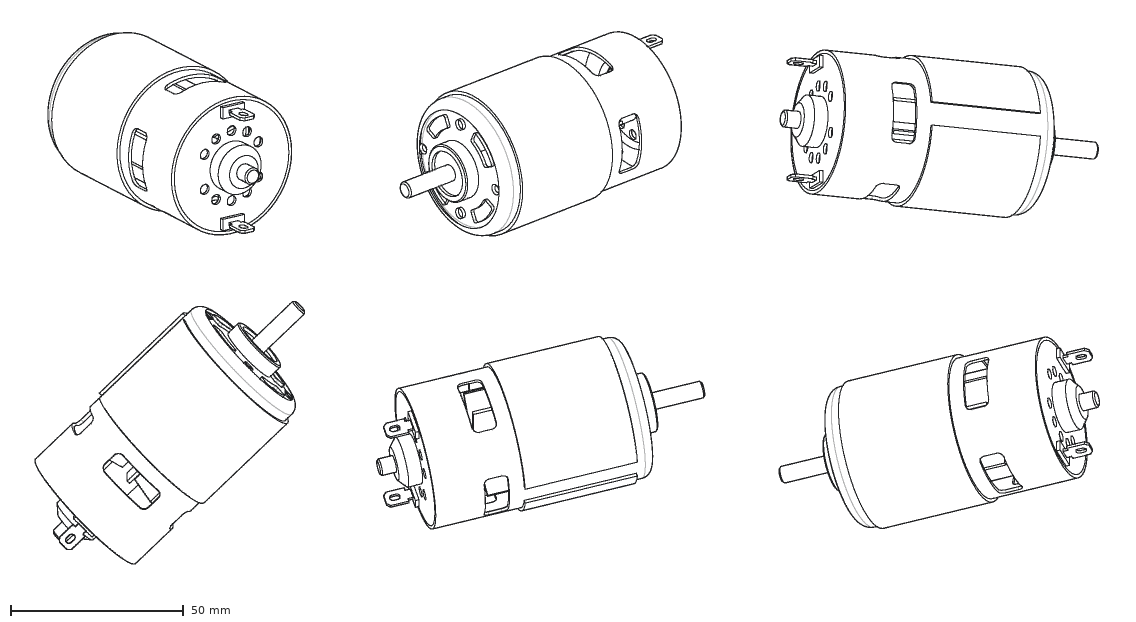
import cadquery as cq
import math


can_radius = 21.0
can_wall = 1.0
can_inner_radius = can_radius - can_wall
can_end_x = 66.3
can_fillet = 3.0
boss_length = 4.5
boss_radius = 8.8
boss_chamfer = 0.4
boss_recess_radius = 6.9
boss_recess_depth = 1.0

window_start_x = 44.0
window_length = 7.3
window_width = 18.0
window_corner = 1.7

vent_inner_radius = 12.4
vent_outer_radius = 16.4
vent_half_angle = 20.5
vent_corner = 0.8
round_hole_radius = 1.6
round_hole_reach = 14.5
dimple_radius = 1.6
dimple_floor_radius = 1.0
dimple_depth = 0.6
dimple_reach = 16.4

ring_outer_radius = 22.0
ring_start_x = 5.6
ring_end_x = 39.5
ring_gap = 7.0

shaft_radius = 2.5
shaft_start_x = -20.6
shaft_length = 98.0
shaft_chamfer = 0.5
hub_radius = 5.0
hub_end_x = 63.0
core_start_x = 22.0
core_end_x = 48.9
core_radius = 16.0
spoke_count = 10
spoke_thickness = 1.0

cap_inner_x = 63.9
dish_floor_x = 65.4
dish_rim_radius = 14.1
dish_floor_radius = 12.6
bearing_radius = 7.5
bearing_cone_x = 70.5
bearing_end_x = 72.7
bearing_tip_radius = 5.0
cap_hole_radius = 1.5
cap_hole_reach = 10.8
cap_hole_pitch = 30

pad_end_x = 67.4
pad_width = 7.6
pad_inner_z = 15.5
pad_outer_z = 19.0
blade_z = 17.4
blade_thickness = 0.9
blade_width = 5.0
blade_neck_width = 3.1
blade_shoulder_x = 68.9
blade_end_x = 75.4
blade_corner = 1.0
eyelet_start_x = 70.9
eyelet_length = 3.1
eyelet_width = 1.9


def cylinder(radius, start_x, end_x):
    """Round bar on the motor axis."""
    return cq.Workplane("YZ").workplane(offset=start_x).circle(radius).extrude(end_x - start_x)


def box(start_x, end_x, width_y, start_z, end_z):
    """Box that is centred on Y = 0."""
    size = (end_x - start_x, width_y, end_z - start_z)
    return cq.Workplane("XY").box(*size, centered=(False, True, False)).translate((start_x, 0, start_z))


def around_axis(shape, angle):
    return shape.rotate((0, 0, 0), (1, 0, 0), angle)


def round_hole(radius, reach, angle, start_x, end_x):
    """Cutter parallel to the axis, at a distance from it; angle 0 is +Y and 90 is +Z."""
    return around_axis(cylinder(radius, start_x, end_x).translate((0, reach, 0)), angle)


def vent():
    """Cutter for one annular sector centred on +Y in the front wall of the can."""
    half_angle = math.radians(vent_half_angle)
    cosine = math.cos(half_angle)
    sine = math.sin(half_angle)
    return (
        cq.Workplane("YZ")
        .moveTo(vent_inner_radius * cosine, -vent_inner_radius * sine)
        .lineTo(vent_outer_radius * cosine, -vent_outer_radius * sine)
        .threePointArc((vent_outer_radius, 0), (vent_outer_radius * cosine, vent_outer_radius * sine))
        .lineTo(vent_inner_radius * cosine, vent_inner_radius * sine)
        .threePointArc((vent_inner_radius, 0), (vent_inner_radius * cosine, -vent_inner_radius * sine))
        .close()
        .extrude(can_wall)
        .edges("|X")
        .fillet(vent_corner)
    )


def dimple():
    """Cutter for one blind conical dimple on the +Y side of the front face."""
    slope = math.degrees(math.atan2(dimple_radius - dimple_floor_radius, dimple_depth))
    cone = cq.Workplane("YZ").circle(dimple_radius).extrude(dimple_depth, taper=slope)
    return cone.translate((0, dimple_reach, 0))


def window():
    """Cutter that passes through both walls of the can along Z."""
    return (
        cq.Workplane("XY")
        .box(window_length, window_width, 2 * ring_outer_radius)
        .edges("|Z")
        .fillet(window_corner)
        .translate((window_start_x + window_length / 2, 0, 0))
    )


def make_can():
    shell = cylinder(can_radius, 0, can_end_x).faces("<X").edges().fillet(can_fillet)
    cavity = cylinder(can_inner_radius, can_wall, can_end_x)
    cavity = cavity.faces("<X").edges().fillet(can_fillet - can_wall)
    boss = cylinder(boss_radius, -boss_length, can_wall).faces("<X").edges().chamfer(boss_chamfer)
    can = shell.cut(cavity).union(boss)
    can = can.cut(cylinder(boss_recess_radius, -boss_length, -boss_length + boss_recess_depth))
    can = can.cut(cylinder(shaft_radius, -boss_length, can_wall))
    for angle in (45, 135, 225, 315):
        can = can.cut(around_axis(vent(), angle))
    for angle in (90, 270):
        can = can.cut(round_hole(round_hole_radius, round_hole_reach, angle, 0, can_wall))
    for angle in (0, 180):
        can = can.cut(around_axis(dimple(), angle))
    for angle in (0, 90):
        can = can.cut(around_axis(window(), angle))
    return can


def make_ring():
    """Rolled sleeve around the can, with its open seam at +Y."""
    ring = cylinder(ring_outer_radius, ring_start_x, ring_end_x)
    ring = ring.cut(cylinder(can_radius, ring_start_x, ring_end_x))
    seam = box(ring_start_x, ring_end_x, ring_outer_radius, -ring_gap / 2, ring_gap / 2)
    return ring.cut(seam.translate((0, ring_outer_radius, 0)))


def make_rotor():
    shaft = cylinder(shaft_radius, shaft_start_x, shaft_start_x + shaft_length)
    shaft = shaft.faces("<X or >X").edges().chamfer(shaft_chamfer)
    rotor = shaft.union(cylinder(hub_radius, core_start_x, hub_end_x))
    spoke = box(core_start_x, core_end_x, spoke_thickness, 0, core_radius)
    for index in range(spoke_count):
        rotor = rotor.union(around_axis(spoke, index * 360 / spoke_count))
    return rotor


def make_terminal():
    """Terminal on the +Z side: a pad and a necked blade with an eyelet."""
    blade_bottom = blade_z - blade_thickness / 2
    blade_top = blade_z + blade_thickness / 2
    pad = box(can_end_x, pad_end_x, pad_width, pad_inner_z, pad_outer_z)
    neck = box(can_end_x, blade_shoulder_x, blade_neck_width, blade_bottom, blade_top)
    blade = box(blade_shoulder_x, blade_end_x, blade_width, blade_bottom, blade_top)
    blade = blade.edges("|Z and >X").chamfer(blade_corner)
    eyelet = (
        cq.Workplane("XY", origin=(eyelet_start_x + eyelet_length / 2, 0, blade_bottom))
        .slot2D(eyelet_length, eyelet_width)
        .extrude(blade_thickness)
    )
    return pad.union(neck).union(blade).cut(eyelet)


def make_end_cap():
    """Dished plate that closes the can, with the rear bearing boss and both terminals."""
    profile = [
        (cap_inner_x, can_inner_radius),
        (can_end_x, can_inner_radius),
        (can_end_x, bearing_radius),
        (bearing_cone_x, bearing_radius),
        (bearing_end_x, bearing_tip_radius),
        (bearing_end_x, shaft_radius),
        (dish_floor_x, shaft_radius),
        (dish_floor_x, dish_floor_radius),
        (cap_inner_x, dish_rim_radius),
    ]
    cap = cq.Workplane("XY").polyline(profile).close().revolve(360, (0, 0, 0), (1, 0, 0))
    upper_hole_angles = range(cap_hole_pitch, 180, cap_hole_pitch)
    lower_hole_angles = range(180 + cap_hole_pitch, 360, cap_hole_pitch)
    for angle in [*upper_hole_angles, *lower_hole_angles]:
        cap = cap.cut(round_hole(cap_hole_radius, cap_hole_reach, angle, dish_floor_x, can_end_x))
    for angle in (0, 180):
        cap = cap.union(around_axis(make_terminal(), angle))
    return cap


can = make_can()
ring = make_ring()
rotor = make_rotor()
end_cap = make_end_cap()

result = cq.Compound.makeCompound([can.val(), ring.val(), rotor.val(), end_cap.val()])